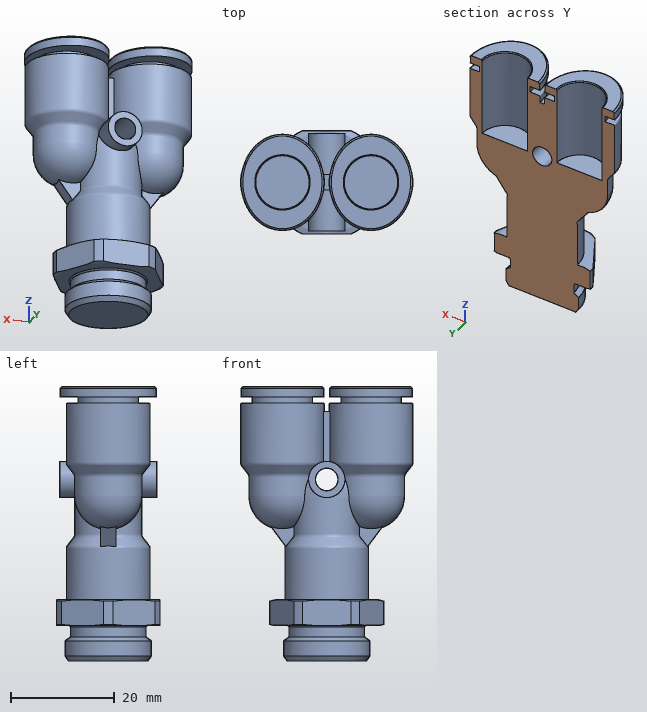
import cadquery as cq
import math

total_height = 53.0
socket_offset = 8.55
barrel_radius = 8.1
neck_radius = 6.5

flange_radius = 8.35
flange_height = 3.9
flange_chamfer_height = 1.0
flange_chamfer_width = 0.7
groove_radius = 7.3
groove_bottom_z = 4.7
groove_relief = 0.3
hex_bottom_z = 6.9
hex_top_z = 11.9
hex_across_flats = 20.0
hex_corner_radius = 11.04
hex_top_face_radius = 9.8
hex_bottom_face_radius = 10.3
hex_chamfer_angle = 15.0

body_top_z = 22.05
stem_bottom_z = 24.1
stem_top_z = 31.55
elbow_center_z = 31.9
blend_radius = 0.8

barrel_bottom_z = 38.0
neck_top_z = 35.9
barrel_top_z = 49.8
barrel_edge_fillet = 0.25

collar_size_x = 16.0
collar_size_y = 18.6
collar_bottom_z = 51.0
collar_chamfer = 0.35
collar_neck_radius = 5.85
bore_radius = 5.15
bore_depth = 18.0
bore_chamfer = 0.2

eye_z = 35.07
eye_radius = 3.5
eye_hole_radius = 2.15
eye_length = 18.8
web_thickness = 3.0
web_top_z = 48.2
gusset_low_x = 7.9
gusset_low_z = 22.1
gusset_high_x = 10.8
gusset_high_z = 26.0


def revolve_profile(points):
    """Revolve an (r, z) outline about the Z axis."""
    return cq.Workplane("XZ").polyline(points).close().revolve(360, (0, 0, 0), (0, 1, 0))


def cylinder(radius, bottom_z, top_z):
    return cq.Workplane("XY").workplane(offset=bottom_z).circle(radius).extrude(top_z - bottom_z)


def edges_at(solid, radius, z):
    """Select the circular edge of the given radius and height on a solid turned about Z."""
    reach = radius + 0.05
    half_band = 0.05
    return solid.edges(cq.selectors.BoxSelector(
        (-reach, -reach, z - half_band), (reach, reach, z + half_band), boundingbox=True))


def make_lower_body():
    """Spigot with groove, turned body, shoulder and domed stem."""
    body = revolve_profile([
        (0, 0),
        (flange_radius - flange_chamfer_width, 0),
        (flange_radius, flange_chamfer_height),
        (flange_radius, flange_height),
        (groove_radius, groove_bottom_z),
        (groove_radius, hex_bottom_z - groove_relief),
        (groove_radius + groove_relief, hex_bottom_z),
        (barrel_radius, hex_bottom_z),
        (barrel_radius, body_top_z),
        (neck_radius, stem_bottom_z),
        (neck_radius, stem_top_z),
        (0, stem_top_z),
    ])
    body = edges_at(body, barrel_radius, body_top_z).fillet(blend_radius)
    body = edges_at(body, neck_radius, stem_bottom_z).fillet(blend_radius)
    dome = cq.Workplane("XY").sphere(neck_radius).translate((0, 0, stem_top_z))
    return body.union(dome)


def make_hexagon():
    """Hexagon with flats facing +Y and -Y, turned corners and chamfered ends."""
    hex_corner_diameter = hex_across_flats / math.cos(math.radians(30))
    hexagon = (cq.Workplane("XY").workplane(offset=hex_bottom_z)
               .polygon(6, hex_corner_diameter).extrude(hex_top_z - hex_bottom_z))
    chamfer_slope = math.tan(math.radians(hex_chamfer_angle))
    top_drop = (hex_corner_radius - hex_top_face_radius) * chamfer_slope
    bottom_rise = (hex_corner_radius - hex_bottom_face_radius) * chamfer_slope
    turned_blank = revolve_profile([
        (0, hex_bottom_z),
        (hex_bottom_face_radius, hex_bottom_z),
        (hex_corner_radius, hex_bottom_z + bottom_rise),
        (hex_corner_radius, hex_top_z - top_drop),
        (hex_top_face_radius, hex_top_z),
        (0, hex_top_z),
    ])
    return hexagon.intersect(turned_blank)


def make_socket():
    """Socket barrel tapering to a neck with a hemispherical end, centred on the Z axis."""
    barrel = revolve_profile([
        (0, elbow_center_z),
        (neck_radius, elbow_center_z),
        (neck_radius, neck_top_z),
        (barrel_radius, barrel_bottom_z),
        (barrel_radius, barrel_top_z),
        (0, barrel_top_z),
    ])
    barrel = edges_at(barrel, neck_radius, neck_top_z).fillet(blend_radius)
    barrel = edges_at(barrel, barrel_radius, barrel_bottom_z).fillet(blend_radius)
    barrel = barrel.faces(">Z").edges().fillet(barrel_edge_fillet)
    elbow = cq.Workplane("XY").sphere(neck_radius).translate((0, 0, elbow_center_z))
    collar_neck = cylinder(collar_neck_radius, barrel_top_z, collar_bottom_z)
    collar = (cq.Workplane("XY").workplane(offset=collar_bottom_z)
              .ellipse(collar_size_x / 2, collar_size_y / 2)
              .extrude(total_height - collar_bottom_z)
              .faces(">Z").edges().chamfer(collar_chamfer))
    return barrel.union(elbow).union(collar_neck).union(collar)


def make_bore():
    """Blind tube bore with a chamfered mouth, centred on the Z axis."""
    return revolve_profile([
        (0, total_height - bore_depth),
        (bore_radius, total_height - bore_depth),
        (bore_radius, total_height - bore_chamfer),
        (bore_radius + bore_chamfer, total_height),
        (0, total_height),
    ])


def make_eye():
    return (cq.Workplane("XZ").center(0, eye_z).circle(eye_radius)
            .extrude(eye_length / 2, both=True))


def make_eye_hole():
    return (cq.Workplane("XZ").center(0, eye_z).circle(eye_hole_radius)
            .extrude(eye_length, both=True))


def make_web():
    """Thin web joining the two barrels."""
    web_width = socket_offset - bore_radius
    return (cq.Workplane("XY").workplane(offset=eye_z)
            .rect(web_width, web_thickness).extrude(web_top_z - eye_z))


def make_gusset():
    """Sloped gusset on both sides, from the body shoulder up into the elbows."""
    return (cq.Workplane("XZ")
            .polyline([
                (-gusset_low_x, gusset_low_z),
                (gusset_low_x, gusset_low_z),
                (gusset_high_x, gusset_high_z),
                (socket_offset, elbow_center_z),
                (-socket_offset, elbow_center_z),
                (-gusset_high_x, gusset_high_z),
            ])
            .close().extrude(web_thickness / 2, both=True))


result = make_lower_body().union(make_hexagon()).union(make_eye()).union(make_web()).union(make_gusset())
for side in (-1, 1):
    result = result.union(make_socket().translate((side * socket_offset, 0, 0)))
for side in (-1, 1):
    result = result.cut(make_bore().translate((side * socket_offset, 0, 0)))
result = result.cut(make_eye_hole())